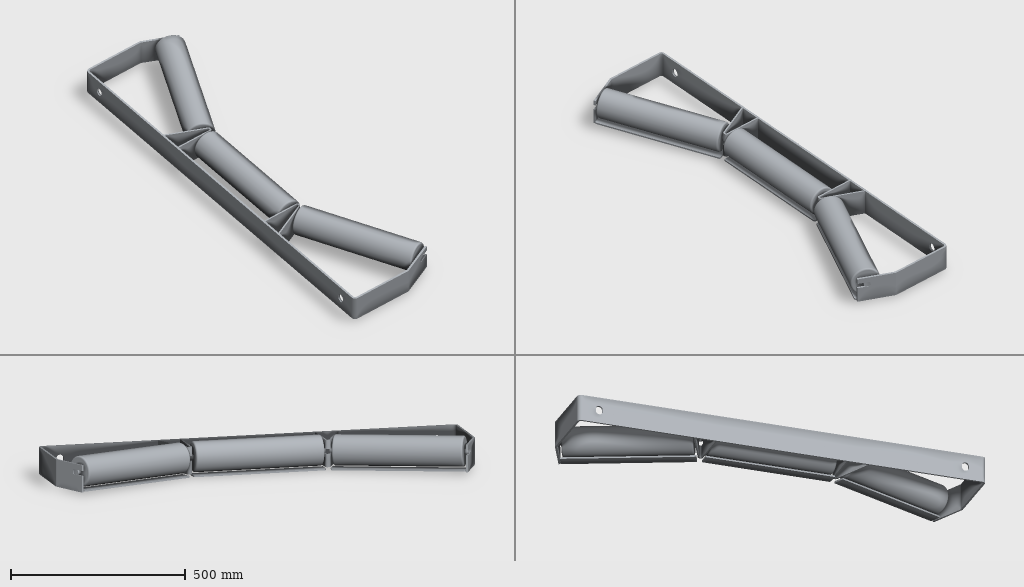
import cadquery as cq
import math

frame_length = 1240.0
strip_height = 79.0
frame_thickness = 6.0
bend_radius = 12.0
strap_tip_reach = 30.0

mount_slot_offset = 557.0
mount_slot_width = 21.0
mount_slot_height = 26.0

roller_diameter = 89.0
roller_length = 380.0
roller_edge_radius = 5.0
shaft_diameter = 20.0
shaft_flat_width = 15.0
span = 394.0
center_axis_y = 100.0
center_axis_z = 46.0

trough_angle = 25.0
lean_angle = 1.4
wing_center_x = -399.0
wing_center_y = 190.0
wing_center_z = 51.0

sheet_thickness = 4.5
sheet_bend_radius = 6.0
bracket_top_y = 128.0

guard_thickness = 5.0
guard_width = 36.0
guard_gap = 3.1
guard_drop = roller_diameter / 2 + guard_gap + guard_thickness
guard_corner_radius = 5.0
guard_length = span - 2 * guard_drop * math.tan(math.radians(lean_angle))

trough_slope = math.tan(math.radians(trough_angle))



def place_center(body):
    """Move a body drawn along the X axis to the centre roller."""
    return body.translate((0, center_axis_y, center_axis_z))


def place_left(body):
    """Move a body drawn along the X axis to the left wing roller."""
    leaned = body.rotate((0, 0, 0), (0, 1, 0), lean_angle)
    turned = leaned.rotate((0, 0, 0), (0, 0, 1), -trough_angle)
    return turned.translate((wing_center_x, wing_center_y, wing_center_z))


def place_right(body):
    """The right wing roller mirrors the left one."""
    return place_left(body).mirror("YZ")


def wing_point(along, across):
    """Plan point at a distance along and across the left wing roller, from its middle."""
    c = math.cos(math.radians(trough_angle))
    s = math.sin(math.radians(trough_angle))
    return (wing_center_x + along * c + across * s, wing_center_y - along * s + across * c)


def wing_face_y(along, x):
    """Y at which the plane square to the left wing roller, at a distance along it, meets x."""
    x0, y0 = wing_point(along, 0)
    return y0 + (x - x0) / trough_slope


def wing_face_x(along, y):
    """X at which the plane square to the left wing roller, at a distance along it, meets y."""
    x0, y0 = wing_point(along, 0)
    return x0 + (y - y0) * trough_slope



def centered_rod(diameter, length):
    """Round rod along X, centred on the origin."""
    return cq.Workplane("YZ").workplane(offset=-length / 2).circle(diameter / 2).extrude(length)


def flatted_rod(length):
    """Rod of the shaft's diameter with a flat above and below its whole length."""
    flats = cq.Workplane("XY").box(length, shaft_diameter, shaft_flat_width)
    return centered_rod(shaft_diameter, length).intersect(flats)


def make_roller():
    """Roller shell joined to its shaft, whose flatted ends project from the shell."""
    shell = centered_rod(roller_diameter, roller_length).edges("%CIRCLE").fillet(roller_edge_radius)
    return shell.union(flatted_rod(span + 2 * sheet_thickness))


def make_guard():
    """Flat plate below the +Y half of a roller."""
    plate = cq.Workplane("XY").box(
        guard_length, guard_width, guard_thickness, centered=(True, False, False)
    )
    plate = plate.edges("|Z and >Y").fillet(guard_corner_radius)
    return plate.translate((0, 0, -guard_drop))


def make_shaft_slots():
    """Cutter for the slots that take both shaft ends, open towards +Y."""
    length = span + 4 * frame_thickness
    opening = cq.Workplane("XY").box(length, strip_height, shaft_flat_width, centered=(True, False, True))
    return flatted_rod(length).union(opening)


def round_bends(strip, corners, radius):
    """Round the upright edges of a strip at the given plan points."""
    for x, y in corners:
        corner = cq.selectors.NearestToPointSelector((x, y, strip_height / 2))
        strip = strip.edges(corner).fillet(radius)
    return strip


def make_frame():
    left = -frame_length / 2
    inner_left = left + frame_thickness
    outer_face = -span / 2 - frame_thickness
    inner_face = -span / 2
    outer_path = [
        (left, 0),
        (left, wing_face_y(outer_face, left)),
        wing_point(outer_face, strap_tip_reach),
    ]
    inner_path = [
        wing_point(inner_face, strap_tip_reach),
        (inner_left, wing_face_y(inner_face, inner_left)),
        (inner_left, frame_thickness),
    ]
    half_outline = [(0, 0)] + outer_path + inner_path + [(0, frame_thickness)]
    half = cq.Workplane("XY").polyline(half_outline).close().extrude(strip_height)

    inner_radius = bend_radius - frame_thickness
    half = round_bends(half, outer_path[:2], bend_radius)
    half = round_bends(half, inner_path[1:], inner_radius)

    frame = half.union(half.mirror("YZ"))
    mount_slots = (
        cq.Workplane("XZ")
        .pushPoints([(-mount_slot_offset, strip_height / 2), (mount_slot_offset, strip_height / 2)])
        .slot2D(mount_slot_height, mount_slot_width, 90)
        .extrude(-frame_thickness)
    )
    frame = frame.cut(mount_slots)
    for place in (place_left, place_right):
        frame = frame.cut(place(make_shaft_slots()))
    return frame


def make_left_bracket():
    """Sheet folded from a leg square to the wing roller, over a bridge, to an upright leg."""
    wing_side = span / 2
    wing_inside = wing_side + sheet_thickness
    post_face = -span / 2
    post_inside = post_face - sheet_thickness
    foot_y = frame_thickness
    bridge_y = bracket_top_y - sheet_thickness
    outline = [
        (wing_face_x(wing_side, foot_y), foot_y),
        (wing_face_x(wing_side, bracket_top_y), bracket_top_y),
        (post_face, bracket_top_y),
        (post_face, foot_y),
        (post_inside, foot_y),
        (post_inside, bridge_y),
        (wing_face_x(wing_inside, bridge_y), bridge_y),
        (wing_face_x(wing_inside, foot_y), foot_y),
    ]
    bracket = cq.Workplane("XY").polyline(outline).close().extrude(strip_height)
    bracket = round_bends(bracket, outline[1:3], sheet_bend_radius)
    bracket = round_bends(bracket, outline[5:7], sheet_bend_radius - sheet_thickness)
    for place in (place_left, place_center):
        bracket = bracket.cut(place(make_shaft_slots()))
    return bracket



frame = make_frame()
left_bracket = make_left_bracket()
brackets = [left_bracket, left_bracket.mirror("YZ")]
places = (place_left, place_center, place_right)
rollers = [place(make_roller()) for place in places]
guards = [place(make_guard()) for place in places]

bodies = [frame] + brackets + rollers + guards
result = cq.Compound.makeCompound([body.solids().val() for body in bodies])